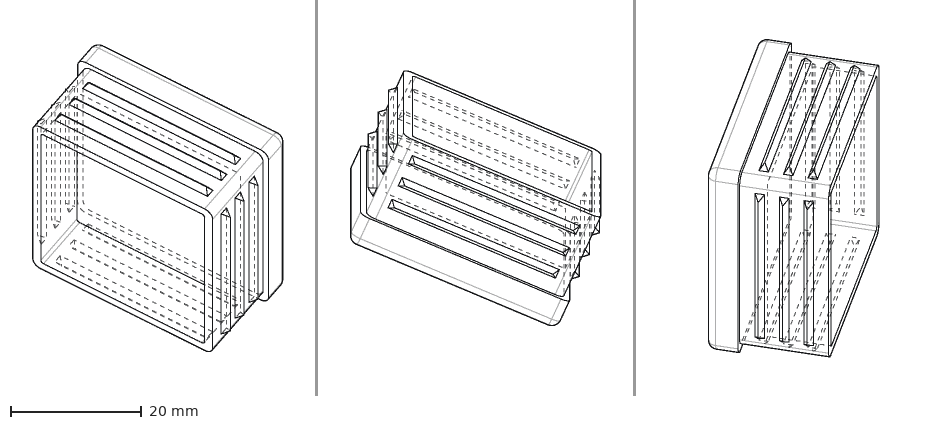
import cadquery as cq

overall_size = 35.35
overall_length = 19.0
head_size = 35.0
head_thickness = 5.0
body_size = 33.0
corner_radius = 1.5
rim_radius = 1.45
cavity_size = 30.0
cavity_depth = 10.0
cavity_corner_radius = 0.5

rib_count = 3
rib_length = 28.0
rib_width = 1.5
first_rib_offset = 8.15
rib_pitch = 3.85
rib_height = (overall_size - body_size) / 2
rib_overlap = 0.18

head_face_y = overall_length / 2
open_end_y = -overall_length / 2


def square_prism(size, start_y, end_y):
    """Square bar along Y, centred on the plug axis."""
    length = end_y - start_y
    return cq.Workplane("XY").box(size, length, size).translate((0, (start_y + end_y) / 2, 0))


def rib(tip_y):
    """Wedge rib on the top side, with both ends sloped like its flanks."""
    end_slope = rib_width / 2
    base_z = body_size / 2
    wedge = (
        cq.Workplane("YZ", origin=(-rib_length / 2, 0, 0))
        .moveTo(tip_y - rib_width / 2, base_z - rib_overlap)
        .lineTo(tip_y - rib_width / 2, base_z)
        .lineTo(tip_y, base_z + rib_height)
        .lineTo(tip_y + rib_width / 2, base_z)
        .lineTo(tip_y + rib_width / 2, base_z - rib_overlap)
        .close()
        .extrude(rib_length)
    )
    side_outline = (
        cq.Workplane("XZ", origin=(0, tip_y + rib_width / 2, 0))
        .moveTo(-rib_length / 2, base_z - rib_overlap)
        .lineTo(-rib_length / 2, base_z)
        .lineTo(-rib_length / 2 + end_slope, base_z + rib_height)
        .lineTo(rib_length / 2 - end_slope, base_z + rib_height)
        .lineTo(rib_length / 2, base_z)
        .lineTo(rib_length / 2, base_z - rib_overlap)
        .close()
        .extrude(rib_width)
    )
    return wedge.intersect(side_outline)


head = square_prism(head_size, head_face_y - head_thickness, head_face_y)
head = head.edges("|Y").fillet(corner_radius)
head = head.faces(">Y").edges().fillet(rim_radius)

body = square_prism(body_size, open_end_y, head_face_y - head_thickness)
body = body.edges("|Y").fillet(corner_radius)

result = head.union(body)

for row in range(rib_count):
    row_rib = rib(head_face_y - first_rib_offset - row * rib_pitch)
    for side_angle in (0, 90, 180, 270):
        result = result.union(row_rib.rotate((0, 0, 0), (0, 1, 0), side_angle))

cavity = square_prism(cavity_size, open_end_y, open_end_y + cavity_depth)
cavity = cavity.edges("|Y").fillet(cavity_corner_radius)
result = result.cut(cavity)